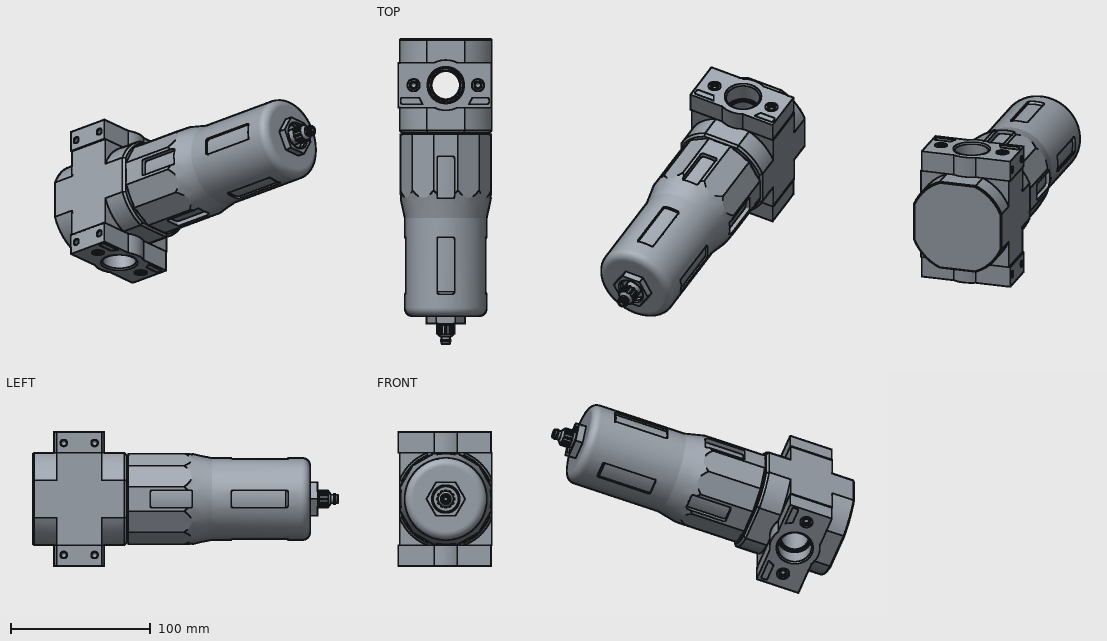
import cadquery as cq
import math


housing_width = 66.0
housing_half = housing_width / 2
housing_flat = 27.0
housing_radius = math.hypot(housing_half, housing_flat / 2)
housing_back = 33.0
housing_front = -34.0
back_chamfer = 0.8
front_chamfer_length = 1.7
front_chamfer_drop = 1.7
flow_bore_diameter = 20.0

plate_left = -34.1
plate_right = 32.4
plate_depth = 32.0
plate_thickness = 15.0
plate_face = housing_half + plate_thickness
plate_bulge_radius = 18.0
port_diameter = 24.12
port_chamfer = 1.15
port_depth = 14.0
port_step_diameter = 21.5

side_hole_spacing = 22.0
side_hole_diameter = 4.13
side_hole_rim_diameter = 5.0
side_hole_height = plate_face - 8.0
side_hole_depth = 5.0

label_inner = 16.6
label_slant = 2.4
label_left = -32.2
label_right = 30.9
label_top = -8.9
label_bottom = -13.5
label_corner_radius = 1.2
label_depth = 0.2

screw_x = 23.0
screw_shank_diameter = 5.0
screw_length = 20.0
screw_head_diameter = 8.5
screw_head_height = 5.0
screw_hole_diameter = 9.0
screw_recess = 0.2
socket_width = 4.0
socket_rim_diameter = 5.6
socket_depth = 2.0
drill_point_angle = 118.0

grip_sides = 12
grip_width = 65.0
grip_corner_radius = grip_width / 2 / math.cos(math.pi / grip_sides)
neck_diameter = 62.0
bowl_top = -35.2
cone_start = -75.1
cone_end = -94.8
bowl_radius = 29.4
bowl_end = -165.2
bowl_fillet = 5.8
window_width = 12.5
window_corner_radius = 1.5
grip_window_top = -50.8
grip_window_bottom = -81.0
grip_window_floor_radius = 29.5
sight_window_top = -108.6
sight_window_bottom = -149.3
sight_window_floor_radius = 27.8
sight_window_ramp = 1.6

nut_width = 24.0
nut_height = 5.3
nut_end = bowl_end - nut_height
nut_recess_diameter = 18.0
nut_recess_chamfer = 1.0
nut_recess_depth = 4.5

drain_shank_diameter = 11.2
knob_diameter = 12.6
knob_top = -171.7
knob_taper_start = -177.5
knob_bottom = -179.3
knob_end_diameter = 8.5
knob_groove_count = 12
knob_groove_width = 2.0
stem_top = -179.9
stem_diameter = 6.4
barb_diameter = 7.3
barb_top = -182.1
barb_bottom = -182.9
drain_end = -185.0
tip_chamfer = 0.5
drain_bore_diameter = 3.0
drain_bore_depth = 10.0


def turned(points):
    """Solid turned about the Y axis from (radius, y) points, closed along the axis."""
    outline = [(0, points[0][1])] + points + [(0, points[-1][1])]
    return cq.Workplane("XY").polyline(outline).close().revolve(360, (0, 0, 0), (0, 1, 0))


def rod(diameter, bottom, top):
    """Cylinder along Z, centred on the origin in X and Y."""
    return cq.Workplane("XY").workplane(offset=bottom).circle(diameter / 2).extrude(top - bottom)


def funnel(top_diameter, bottom_diameter, bottom, top):
    """Truncated cone along Z, wider at the top; a zero bottom diameter gives a point."""
    return cq.Workplane(
        cq.Solid.makeCone(bottom_diameter / 2, top_diameter / 2, top - bottom, cq.Vector(0, 0, bottom))
    )


def drill_point_height(diameter):
    return diameter / 2 / math.tan(math.radians(drill_point_angle / 2))


def lower_copy(body):
    """Mirror image of an upper body below the XY plane."""
    return body.mirror("XY")


def make_housing():
    round_body = turned([
        (housing_radius - back_chamfer, housing_back),
        (housing_radius, housing_back - back_chamfer),
        (housing_radius, housing_front + front_chamfer_length),
        (housing_radius - front_chamfer_drop, housing_front),
    ])
    flats = (
        cq.Workplane("XZ", origin=(0, housing_back, 0))
        .rect(housing_width, housing_width)
        .extrude(housing_back - housing_front)
        .faces(">Y").chamfer(back_chamfer)
        .faces("<Y").chamfer(front_chamfer_length, front_chamfer_drop)
    )
    middle = cq.Workplane("XY").box(housing_width, plate_depth, housing_width)
    body = round_body.intersect(flats).union(middle)
    body = body.cut(rod(flow_bore_diameter, -housing_half, housing_half))

    hole_bottom = plate_face - screw_recess - screw_head_height - screw_length
    screw_hole = rod(screw_shank_diameter, hole_bottom, housing_half)
    for side in (-1, 1):
        upper_hole = screw_hole.translate((side * screw_x, 0, 0))
        body = body.cut(upper_hole).cut(lower_copy(upper_hole))
    return body


def make_label_recess(outer_x, inner_x, slant):
    """Shallow recess with two rounded outer corners and a slanted inner end."""
    outer_corners = "<X" if outer_x < inner_x else ">X"
    return (
        cq.Workplane("XY", origin=(0, 0, plate_face - label_depth))
        .polyline([
            (outer_x, label_bottom),
            (outer_x, label_top),
            (inner_x + slant, label_top),
            (inner_x, label_bottom),
        ])
        .close()
        .extrude(label_depth)
        .edges("|Z").edges(outer_corners).fillet(label_corner_radius)
    )


def make_side_hole():
    """Blind threaded hole with a chamfered rim, opening at the origin toward +Z."""
    rim_depth = (side_hole_rim_diameter - side_hole_diameter) / 2
    hole = rod(side_hole_diameter, -side_hole_depth, 0)
    rim = funnel(side_hole_rim_diameter, side_hole_diameter, -rim_depth, 0)
    point_bottom = -side_hole_depth - drill_point_height(side_hole_diameter)
    point = funnel(side_hole_diameter, 0, point_bottom, -side_hole_depth)
    return hole.union(rim).union(point)


def make_upper_plate():
    bar = (
        cq.Workplane("XY", origin=((plate_left + plate_right) / 2, 0, housing_half))
        .rect(plate_right - plate_left, plate_depth)
        .extrude(plate_thickness)
    )
    plate = bar.union(rod(2 * plate_bulge_radius, housing_half, plate_face))

    port_bottom = plate_face - port_depth
    port_rim = port_diameter + 2 * port_chamfer
    plate = plate.cut(rod(port_step_diameter, housing_half, plate_face))
    plate = plate.cut(rod(port_diameter, port_bottom, plate_face))
    plate = plate.cut(funnel(port_rim, port_diameter, plate_face - port_chamfer, plate_face))

    head_bottom = plate_face - screw_recess - screw_head_height
    screw_hole = rod(screw_hole_diameter, head_bottom, plate_face)
    screw_hole = screw_hole.union(rod(screw_shank_diameter, housing_half, head_bottom))
    for side in (-1, 1):
        plate = plate.cut(screw_hole.translate((side * screw_x, 0, 0)))

    side_hole = make_side_hole().rotate((0, 0, 0), (0, 1, 0), -90)
    for side in (-1, 1):
        hole_y = side * side_hole_spacing / 2
        plate = plate.cut(side_hole.translate((plate_left, hole_y, side_hole_height)))

    plate = plate.cut(make_label_recess(label_left, -label_inner, -label_slant))
    return plate.cut(make_label_recess(label_right, label_inner, label_slant))


def make_upper_screw(x):
    head_top = plate_face - screw_recess
    head_bottom = head_top - screw_head_height
    head = rod(screw_head_diameter, head_bottom, head_top)
    screw = head.union(rod(screw_shank_diameter, head_bottom - screw_length, head_bottom))

    socket_corner_diameter = socket_width / math.cos(math.pi / 6)
    socket_bottom = head_top - socket_depth
    socket = (
        cq.Workplane("XY", origin=(0, 0, socket_bottom))
        .polygon(6, socket_corner_diameter)
        .extrude(socket_depth)
    )
    rim_depth = (socket_rim_diameter - socket_width) / 2
    rim = funnel(socket_rim_diameter, socket_width, head_top - rim_depth, head_top)
    point = funnel(socket_width, 0, socket_bottom - drill_point_height(socket_width), socket_bottom)
    return screw.cut(socket).cut(rim).cut(point).translate((x, 0, 0))


def make_window(top, bottom, core):
    """Rounded opening toward +Z that ends at the surface of the core."""
    opening = (
        cq.Workplane("XY", origin=(0, (top + bottom) / 2, 0))
        .rect(window_width, top - bottom)
        .extrude(grip_width)
        .edges("|Z").fillet(window_corner_radius)
    )
    return opening.cut(core)


def make_bowl():
    grip_bar = (
        cq.Workplane("XZ", origin=(0, bowl_top, 0))
        .transformed(rotate=(0, 0, 180 / grip_sides))
        .polygon(grip_sides, 2 * grip_corner_radius)
        .extrude(bowl_top - bowl_end)
    )
    skin = turned([
        (grip_corner_radius, bowl_top),
        (grip_corner_radius, cone_start),
        (bowl_radius, cone_end),
        (bowl_radius, bowl_end),
    ]).faces("<Y").edges().fillet(bowl_fillet)
    neck = turned([(neck_diameter / 2, housing_front), (neck_diameter / 2, bowl_top)])
    body = grip_bar.intersect(skin).union(neck)

    grip_core = turned([
        (grip_window_floor_radius, grip_window_top),
        (grip_window_floor_radius, grip_window_bottom),
    ])
    sight_core = turned([
        (sight_window_floor_radius, sight_window_top),
        (sight_window_floor_radius, sight_window_bottom + sight_window_ramp),
        (bowl_radius, sight_window_bottom),
    ])
    grip_window = make_window(grip_window_top, grip_window_bottom, grip_core)
    sight_window = make_window(sight_window_top, sight_window_bottom, sight_core)
    for quarter in range(4):
        for window in (grip_window, sight_window):
            body = body.cut(window.rotate((0, 0, 0), (0, 1, 0), 90 * quarter))
    return body


def make_nut():
    hexagon = (
        cq.Workplane("XZ", origin=(0, bowl_end, 0))
        .polygon(6, nut_width / math.cos(math.pi / 6))
        .extrude(nut_height)
    )
    recess_radius = nut_recess_diameter / 2
    recess = turned([
        (recess_radius, nut_end + nut_recess_depth),
        (recess_radius, nut_end + nut_recess_chamfer),
        (recess_radius + nut_recess_chamfer, nut_end),
    ])
    shank_radius = drain_shank_diameter / 2
    return hexagon.cut(recess).cut(turned([(shank_radius, bowl_end), (shank_radius, nut_end)]))


def make_drain_valve():
    shank_radius = drain_shank_diameter / 2
    knob_radius = knob_diameter / 2
    stem_radius = stem_diameter / 2
    barb_radius = barb_diameter / 2
    valve = turned([
        (shank_radius, bowl_end),
        (shank_radius, knob_top),
        (knob_radius, knob_top),
        (knob_radius, knob_taper_start),
        (knob_end_diameter / 2, knob_bottom),
        (stem_radius, stem_top),
        (stem_radius, barb_top),
        (barb_radius, barb_top),
        (barb_radius, barb_bottom),
        (stem_radius, barb_bottom),
        (stem_radius, drain_end + tip_chamfer),
        (stem_radius - tip_chamfer, drain_end),
    ])
    groove = (
        cq.Workplane("XZ", origin=(0, knob_top, 0))
        .center(0, knob_radius)
        .rect(knob_groove_width, knob_diameter - drain_shank_diameter)
        .extrude(knob_top - knob_bottom)
    )
    groove_angle = 360 / knob_groove_count
    for index in range(knob_groove_count):
        valve = valve.cut(groove.rotate((0, 0, 0), (0, 1, 0), (index + 0.5) * groove_angle))

    bore_radius = drain_bore_diameter / 2
    return valve.cut(turned([(bore_radius, drain_end + drain_bore_depth), (bore_radius, drain_end)]))


housing = make_housing()
upper_plate = make_upper_plate()
lower_plate = lower_copy(upper_plate)
screws = []
for side in (-1, 1):
    upper_screw = make_upper_screw(side * screw_x)
    screws.append(upper_screw)
    screws.append(lower_copy(upper_screw))
bowl = make_bowl()
nut = make_nut()
drain_valve = make_drain_valve()

result = cq.Compound.makeCompound([
    housing.val(),
    upper_plate.val(),
    lower_plate.val(),
    *[screw.val() for screw in screws],
    bowl.val(),
    nut.val(),
    drain_valve.val(),
])